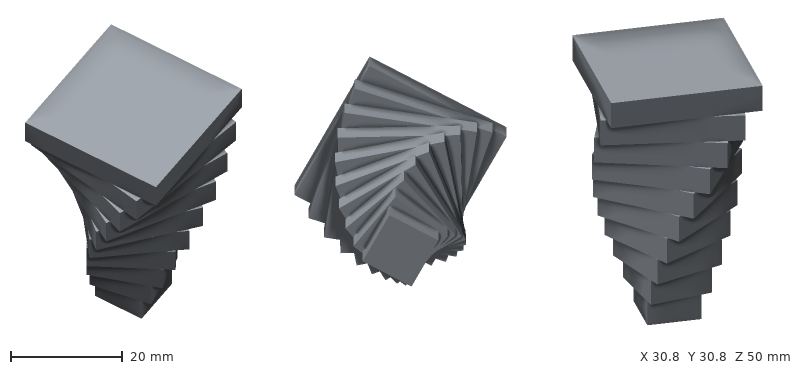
import cadquery as cq

slab_count = 10
slab_height = 5.0
bottom_side = 10.0
side_growth = 2.0
total_twist = 90.0

twist_step = total_twist / (slab_count - 1)


def make_slab(level):
    """Square slab at the given level, counted from 0 at the bottom."""
    side = bottom_side + level * side_growth
    return (
        cq.Workplane("XY")
        .rect(side, side)
        .extrude(slab_height)
        .rotate((0, 0, 0), (0, 0, 1), level * twist_step)
        .translate((0, 0, level * slab_height))
    )


result = make_slab(0)
for level in range(1, slab_count):
    result = result.union(make_slab(level))